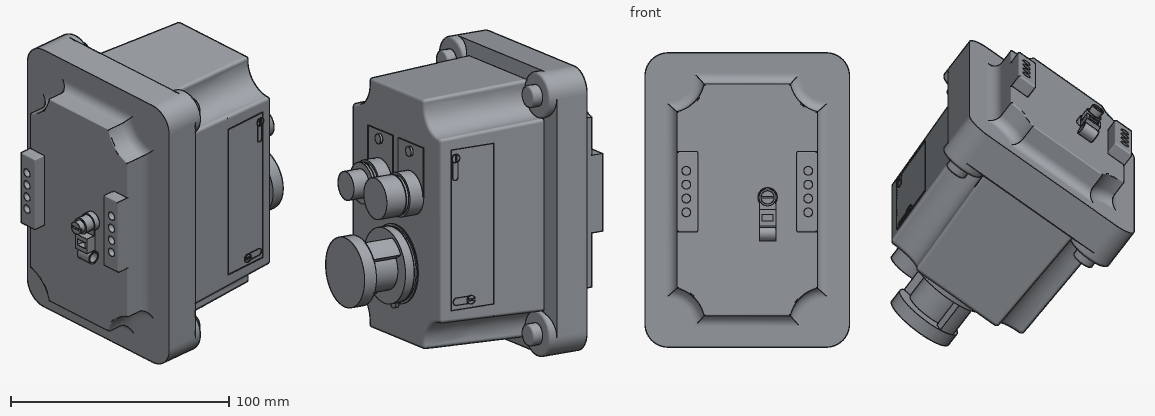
import cadquery as cq
import math

FLANGE_WIDTH = 93.7
FLANGE_HEIGHT = 134.9
FLANGE_THICKNESS = 16.6
FLANGE_CORNER_RADIUS = 10.8
SLOPE_RISE = 1.9
SLOPE_RUN = 6.7

BOLT_INSET = FLANGE_CORNER_RADIUS
BOLT_X = FLANGE_WIDTH / 2 - BOLT_INSET
BOLT_Z = FLANGE_HEIGHT / 2 - BOLT_INSET
PAD_BACK = 20.6
PAD_FILLET = 1.3
BOLT_HEAD_RADIUS = 5.1
BOLT_HEAD_HEIGHT = 5.0
BOLT_HEAD_FILLET = 1.0

BODY_BACK = 73.8
BODY_HALF_WIDTH = 37.4
BODY_HALF_HEIGHT = 59.2
BODY_NOTCH_RADIUS = 13.0
BODY_DRAFT = 1.9
BODY_EDGE_FILLET = 1.3
BODY_BACK_FILLET = 1.6

PLINTH_HEIGHT = 12.4
PLINTH_HALF_WIDTH = 32.1
PLINTH_HALF_HEIGHT = 53.0
PLINTH_NOTCH_RADIUS = 16.7
PLINTH_FOOT_FILLET = 4.9
PLINTH_RIM_FILLET = 0.5

STRIP_WIDTH = 9.5
STRIP_TOP = 22.3
STRIP_BOTTOM = -14.7
STRIP_HEIGHT = 6.1
STRIP_FILLET = 0.7
SOCKET_COUNT = 4
SOCKET_PITCH = 6.3
SOCKET_TOP_Z = 13.4
SOCKET_X = 27.9
SOCKET_RADIUS = 2.0
SOCKET_DEPTH = 4.0

PLATE_BACK = 68.2
PLATE_FRONT = 45.5
PLATE_HEIGHT = 76.3
PLATE_THICKNESS = 0.4
PLATE_SCREW_RADIUS = 2.0
PLATE_SCREW_HEIGHT = 1.0
SCREW_SLOT_WIDTH = 0.8
PLATE_GROOVE_DEPTH = 0.3
UPPER_SCREW = (66.1, 34.0)
UPPER_GROOVE_END = (66.1, 24.8)
UPPER_GROOVE_WIDTH = 2.8
LOWER_SCREW = (57.9, -34.3)
LOWER_GROOVE_END = (65.4, -34.3)
LOWER_GROOVE_WIDTH = 3.5

CONNECTOR_X = 12.8
CONNECTOR_Z = 13.1
CONNECTOR_PAD_TOP = 36.7
BACK_PAD_THICKNESS = 0.5
COLLAR_RADIUS = 10.4
COLLAR_BACK = 81.3
NECK_RADIUS = 9.3
NECK_BACK = 82.8
CAP_RADIUS = 9.7
CAP_BACK = 93.5
STEM_RIM_BACK = 84.4
STEM_RADIUS = 6.7
STEM_BACK = 92.9
BACK_SCREW_Z = 32.8
BACK_SCREW_RADIUS = 2.3
BACK_SCREW_HEIGHT = 1.8

HUB_Z = -23.7
HUB_PAD_RADIUS = 18.6
HUB_FOOT_RADIUS = 17.5
HUB_FOOT_BACK = 75.4
HUB_RING_RADIUS = 17.8
HUB_RING_BACK = 80.2
CORE_RADIUS = 11.3
CORE_BACK = 94.3
POST_OUTER_RADIUS = 16.2
POST_START_ANGLE = 114.5
POST_END_ANGLE = 149.0
DISC_RADIUS = 16.5
DISC_FRONT = 95.2
DISC_BACK = 101.7
HUB_SCREW_Z = -42.2

TERMINAL_X = 9.3
TERMINAL_SCREW_Z = 1.2
WASHER_RADIUS = 4.5
WASHER_HEIGHT = 3.0
SLEEVE_RADIUS = 3.9
SLEEVE_FRONT = -20.1
SCREW_RADIUS = 3.03
SCREW_FRONT = -23.2
SCREW_SLOT_DEPTH = 1.1
TONGUE_WIDTH = 7.5
TONGUE_THICKNESS = 0.8
CLAMP_TOP = -4.3
CLAMP_BOTTOM = -12.0
CLAMP_FRONT = -19.8
WINDOW_WIDTH = 5.0
WINDOW_HEIGHT = 3.1
WINDOW_DEPTH = 3.4
CURL_RADIUS = 3.1
CURL_THICKNESS = 0.7
CURL_Z = -15.6

PLINTH_FRONT = -PLINTH_HEIGHT
SIDES = (-1, 1)
SELECTION_MARGIN = 0.1


def plane_at(y):
    """XZ workplane at depth y; a positive extrusion runs toward -Y."""
    return cq.Workplane("XZ", origin=(0, y, 0))


def block(x_range, y_range, z_range):
    low, high = zip(x_range, y_range, z_range)
    size = [b - a for a, b in zip(low, high)]
    return cq.Workplane("XY").box(*size, centered=False).translate(low)


def disc(x, z, radius, y_front, y_back):
    return plane_at(y_back).center(x, z).circle(radius).extrude(y_back - y_front)


def notched_outline(y, half_width, half_height, notch_radius):
    """Rectangle whose corners are cut away by arcs around the bolts."""
    arc_x = BOLT_X - math.sqrt(notch_radius**2 - (BOLT_Z - half_height) ** 2)
    arc_z = BOLT_Z - math.sqrt(notch_radius**2 - (BOLT_X - half_width) ** 2)
    mid_x = BOLT_X - notch_radius * math.sqrt(0.5)
    mid_z = BOLT_Z - notch_radius * math.sqrt(0.5)
    return (
        plane_at(y)
        .moveTo(-arc_x, half_height)
        .lineTo(arc_x, half_height)
        .threePointArc((mid_x, mid_z), (half_width, arc_z))
        .lineTo(half_width, -arc_z)
        .threePointArc((mid_x, -mid_z), (arc_x, -half_height))
        .lineTo(-arc_x, -half_height)
        .threePointArc((-mid_x, -mid_z), (-half_width, -arc_z))
        .lineTo(-half_width, arc_z)
        .threePointArc((-mid_x, mid_z), (-arc_x, half_height))
        .close()
    )


def make_flange():
    slab = (
        plane_at(FLANGE_THICKNESS)
        .rect(FLANGE_WIDTH, FLANGE_HEIGHT)
        .extrude(FLANGE_THICKNESS)
        .edges("|Y")
        .fillet(FLANGE_CORNER_RADIUS)
    )
    slope_angle = math.degrees(math.atan(SLOPE_RUN / SLOPE_RISE))
    back_outline = slab.faces(">Y").wires().toPending().workplane()
    return slab.union(back_outline.extrude(SLOPE_RISE, taper=slope_angle, combine=False))


def make_body():
    length = BODY_BACK - FLANGE_THICKNESS
    spread = length * math.tan(math.radians(BODY_DRAFT))
    body = notched_outline(
        FLANGE_THICKNESS,
        BODY_HALF_WIDTH + spread,
        BODY_HALF_HEIGHT + spread,
        BODY_NOTCH_RADIUS - spread,
    ).extrude(-length, taper=BODY_DRAFT)
    body = body.edges("not(<Y or >Y)").fillet(BODY_EDGE_FILLET)
    return body.faces(">Y").edges().fillet(BODY_BACK_FILLET)


def make_plinth():
    return (
        notched_outline(0, PLINTH_HALF_WIDTH, PLINTH_HALF_HEIGHT, PLINTH_NOTCH_RADIUS)
        .extrude(PLINTH_HEIGHT)
        .faces("<Y")
        .edges()
        .fillet(PLINTH_RIM_FILLET)
    )


def make_bolt_pad(x, z):
    pad = disc(x, z, BOLT_INSET, 0, PAD_BACK).faces(">Y").edges().fillet(PAD_FILLET)
    head = disc(x, z, BOLT_HEAD_RADIUS, 0, PAD_BACK + BOLT_HEAD_HEIGHT)
    return pad.union(head.faces(">Y").edges().fillet(BOLT_HEAD_FILLET))


def make_terminal_strip():
    """The strip on the +X side; the other one mirrors it."""
    strip = block(
        (PLINTH_HALF_WIDTH - STRIP_WIDTH, PLINTH_HALF_WIDTH),
        (PLINTH_FRONT - STRIP_HEIGHT, PLINTH_FRONT + PLINTH_RIM_FILLET),
        (STRIP_BOTTOM, STRIP_TOP),
    )
    strip = strip.edges("<Y or (<X and |Y)").fillet(STRIP_FILLET)
    sockets = [(SOCKET_X, SOCKET_TOP_Z - i * SOCKET_PITCH) for i in range(SOCKET_COUNT)]
    strip_face = plane_at(PLINTH_FRONT - STRIP_HEIGHT)
    return strip.cut(strip_face.pushPoints(sockets).circle(SOCKET_RADIUS).extrude(-SOCKET_DEPTH))


def make_name_plate():
    """The plate on the +X side, square to the drafted wall; the other one mirrors it."""
    draft = math.radians(BODY_DRAFT)
    wall = cq.Plane(
        origin=(BODY_HALF_WIDTH, BODY_BACK, 0),
        xDir=(-math.sin(draft), math.cos(draft), 0),
        normal=(math.cos(draft), math.sin(draft), 0),
    )

    def on_wall(y, z, lift=0.0):
        return cq.Workplane(wall).workplane(offset=lift).center(y - BODY_BACK, z)

    plate = (
        on_wall((PLATE_BACK + PLATE_FRONT) / 2, 0, -PLATE_THICKNESS)
        .rect(PLATE_BACK - PLATE_FRONT, PLATE_HEIGHT)
        .extrude(2 * PLATE_THICKNESS)
    )
    marks = (
        (UPPER_SCREW, UPPER_GROOVE_END, UPPER_GROOVE_WIDTH),
        (LOWER_SCREW, LOWER_GROOVE_END, LOWER_GROOVE_WIDTH),
    )
    for (y, z), (end_y, end_z), width in marks:
        angle = math.degrees(math.atan2(end_z - z, end_y - y))
        length = math.hypot(end_y - y, end_z - z) + width
        groove = on_wall((y + end_y) / 2, (z + end_z) / 2, PLATE_THICKNESS - PLATE_GROOVE_DEPTH)
        plate = plate.cut(groove.slot2D(length, width, angle).extrude(PLATE_THICKNESS))
        head = on_wall(y, z).circle(PLATE_SCREW_RADIUS).extrude(PLATE_SCREW_HEIGHT)
        slot = on_wall(y, z, PLATE_THICKNESS).transformed(rotate=(0, 0, angle))
        head = head.cut(slot.rect(2 * PLATE_SCREW_RADIUS, SCREW_SLOT_WIDTH).extrude(PLATE_SCREW_HEIGHT))
        plate = plate.union(head)
    return plate


def make_small_connectors():
    """A capped connector on the -X side and a bare stem on the +X side."""
    capped = disc(-CONNECTOR_X, CONNECTOR_Z, CAP_RADIUS, NECK_BACK, CAP_BACK)
    rim = disc(CONNECTOR_X, CONNECTOR_Z, CAP_RADIUS, NECK_BACK, STEM_RIM_BACK)
    stem = disc(CONNECTOR_X, CONNECTOR_Z, STEM_RADIUS, NECK_BACK, STEM_BACK)
    connectors = capped.union(rim).union(stem)
    pad_back = BODY_BACK + BACK_PAD_THICKNESS
    for side in SIDES:
        x = side * CONNECTOR_X
        pad_width = (x - COLLAR_RADIUS, x + COLLAR_RADIUS)
        pad = block(pad_width, (BODY_BACK, pad_back), (CONNECTOR_Z, CONNECTOR_PAD_TOP))
        screw = disc(x, BACK_SCREW_Z, BACK_SCREW_RADIUS, BODY_BACK, BODY_BACK + BACK_SCREW_HEIGHT)
        collar = disc(x, CONNECTOR_Z, COLLAR_RADIUS, BODY_BACK, COLLAR_BACK)
        neck = disc(x, CONNECTOR_Z, NECK_RADIUS, COLLAR_BACK, NECK_BACK)
        connectors = connectors.union(pad).union(screw).union(collar).union(neck)
    return connectors


def make_disc_post():
    """A sector from the core to just inside the rim of the disc; the other post is half a turn away."""

    def polar(radius, angle):
        return radius * math.cos(math.radians(angle)), radius * math.sin(math.radians(angle))

    middle_angle = (POST_START_ANGLE + POST_END_ANGLE) / 2
    return (
        plane_at(DISC_FRONT)
        .center(0, HUB_Z)
        .moveTo(*polar(CORE_RADIUS, POST_START_ANGLE))
        .lineTo(*polar(POST_OUTER_RADIUS, POST_START_ANGLE))
        .threePointArc(polar(POST_OUTER_RADIUS, middle_angle), polar(POST_OUTER_RADIUS, POST_END_ANGLE))
        .lineTo(*polar(CORE_RADIUS, POST_END_ANGLE))
        .threePointArc(polar(CORE_RADIUS, middle_angle), polar(CORE_RADIUS, POST_START_ANGLE))
        .close()
        .extrude(DISC_FRONT - HUB_RING_BACK)
    )


def make_large_connector():
    post = make_disc_post()
    opposite_post = post.rotate((0, 0, HUB_Z), (0, 1, HUB_Z), 180)
    pad = disc(0, HUB_Z, HUB_PAD_RADIUS, BODY_BACK, BODY_BACK + BACK_PAD_THICKNESS)
    foot = disc(0, HUB_Z, HUB_FOOT_RADIUS, BODY_BACK, HUB_FOOT_BACK)
    ring = disc(0, HUB_Z, HUB_RING_RADIUS, HUB_FOOT_BACK, HUB_RING_BACK)
    core = disc(0, HUB_Z, CORE_RADIUS, HUB_RING_BACK, CORE_BACK)
    top_disc = disc(0, HUB_Z, DISC_RADIUS, DISC_FRONT, DISC_BACK)
    screw = disc(0, HUB_SCREW_Z, BACK_SCREW_RADIUS, BODY_BACK, BODY_BACK + BACK_SCREW_HEIGHT)
    connector = pad.union(foot).union(ring).union(core)
    return connector.union(post).union(opposite_post).union(top_disc).union(screw)


def make_housing():
    housing = make_flange().union(make_body()).union(make_plinth())
    reach_x = PLINTH_HALF_WIDTH + SELECTION_MARGIN
    reach_z = PLINTH_HALF_HEIGHT + SELECTION_MARGIN
    foot_edges = cq.selectors.BoxSelector(
        (-reach_x, -SELECTION_MARGIN, -reach_z),
        (reach_x, SELECTION_MARGIN, reach_z),
    )
    housing = housing.edges(foot_edges).fillet(PLINTH_FOOT_FILLET)
    for x_side in SIDES:
        for z_side in SIDES:
            housing = housing.union(make_bolt_pad(x_side * BOLT_X, z_side * BOLT_Z))
    for side_part in (make_terminal_strip(), make_name_plate()):
        housing = housing.union(side_part).union(side_part.mirror("YZ"))
    return housing.union(make_small_connectors()).union(make_large_connector())


def make_earth_terminal():
    washer_front = PLINTH_FRONT - WASHER_HEIGHT
    left = TERMINAL_X - TONGUE_WIDTH / 2
    right = TERMINAL_X + TONGUE_WIDTH / 2
    washer = disc(TERMINAL_X, TERMINAL_SCREW_Z, WASHER_RADIUS, washer_front, PLINTH_FRONT)
    sleeve = disc(TERMINAL_X, TERMINAL_SCREW_Z, SLEEVE_RADIUS, SLEEVE_FRONT, washer_front)
    screw = disc(TERMINAL_X, TERMINAL_SCREW_Z, SCREW_RADIUS, SCREW_FRONT, SLEEVE_FRONT)
    slot = (
        plane_at(SCREW_FRONT)
        .center(TERMINAL_X, TERMINAL_SCREW_Z)
        .rect(2 * SCREW_RADIUS, SCREW_SLOT_WIDTH)
        .extrude(-SCREW_SLOT_DEPTH)
    )
    curl_top = CURL_Z + CURL_RADIUS - CURL_THICKNESS / 2
    tongue = block((left, right), (washer_front, washer_front + TONGUE_THICKNESS), (curl_top, TERMINAL_SCREW_Z))
    clamp = block((left, right), (CLAMP_FRONT, washer_front), (CLAMP_BOTTOM, CLAMP_TOP))
    window = (
        plane_at(CLAMP_FRONT)
        .center(TERMINAL_X, (CLAMP_TOP + CLAMP_BOTTOM) / 2)
        .rect(WINDOW_WIDTH, WINDOW_HEIGHT)
        .extrude(-WINDOW_DEPTH)
    )
    curl = (
        cq.Workplane("YZ", origin=(left, PLINTH_FRONT - CURL_RADIUS, CURL_Z))
        .circle(CURL_RADIUS)
        .circle(CURL_RADIUS - CURL_THICKNESS)
        .extrude(TONGUE_WIDTH)
    )
    stud = washer.union(sleeve).union(screw.cut(slot))
    return stud.union(tongue).union(clamp.cut(window)).union(curl)


housing = make_housing()
earth_terminal = make_earth_terminal()

result = cq.Compound.makeCompound([housing.val(), earth_terminal.val()])